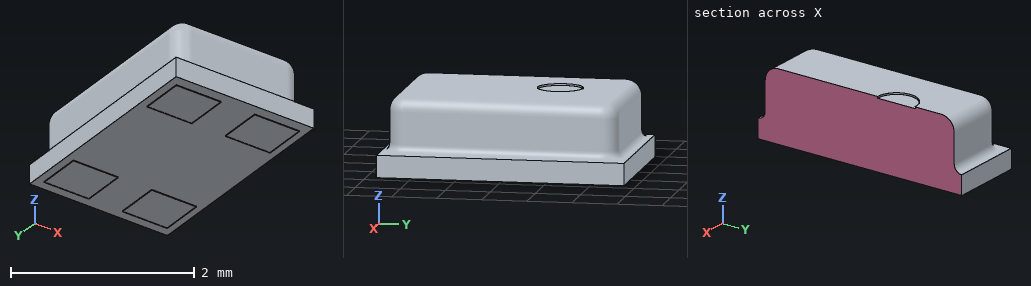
import cadquery as cq

board_width = 1.85
board_length = 2.75
board_height = 0.25

overall_height = 0.91
pad_thickness = 0.01
flare_radius = 0.1
lid_radius = 0.18
lid_top = overall_height - pad_thickness
lid_width = board_width - 2 * flare_radius
lid_length = board_length - 2 * flare_radius

port_diameter = 0.5
port_offset_y = 0.495
port_depth = 0.02

pad_width = 0.6
pad_length = 0.55
pad_inset_x = 0.1
pad_inset_y = 0.135


def make_lidded_board():
    """Board and rounded lid, joined by a concave flare that ends at the board edges."""
    oversize = 2 * flare_radius
    blank = cq.Workplane("XY").box(
        board_width + oversize, board_length + oversize, board_height, centered=(True, True, False)
    )
    lid = (
        cq.Workplane("XY")
        .workplane(offset=board_height)
        .rect(lid_width, lid_length)
        .extrude(lid_top - board_height)
        .edges("|Z or >Z")
        .fillet(lid_radius)
    )
    foot_edges = cq.selectors.BoxSelector(
        (-board_width / 2, -board_length / 2, board_height - flare_radius),
        (board_width / 2, board_length / 2, board_height + flare_radius),
    )
    flared = blank.union(lid).edges(foot_edges).edges("#Z").fillet(flare_radius)
    envelope = cq.Workplane("XY").box(
        board_width, board_length, lid_top, centered=(True, True, False)
    )
    return flared.intersect(envelope)


def make_port():
    """Cutter for the round recess in the top of the lid."""
    return (
        cq.Workplane("XY")
        .workplane(offset=lid_top - port_depth)
        .center(0, port_offset_y)
        .circle(port_diameter / 2)
        .extrude(port_depth)
    )


def make_pads():
    """Four thin contact pads below the board."""
    pitch_x = board_width - 2 * pad_inset_x - pad_width
    pitch_y = board_length - 2 * pad_inset_y - pad_length
    return (
        cq.Workplane("XY")
        .rarray(pitch_x, pitch_y, 2, 2)
        .rect(pad_width, pad_length)
        .extrude(-pad_thickness)
    )


result = make_lidded_board().cut(make_port()).union(make_pads())